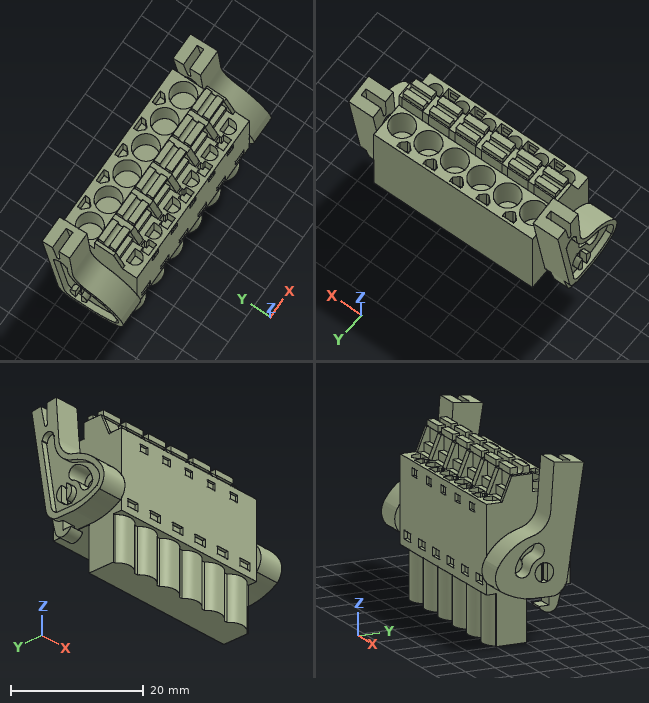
import cadquery as cq
import math


pole_count = 6
pole_pitch = 5.0
pole_xs = [(i - (pole_count - 1) / 2) * pole_pitch for i in range(pole_count)]
between_xs = [x + pole_pitch / 2 for x in pole_xs[:-1]]

housing_width = 30.1
housing_depth = 14.15
front_height = 14.35
back_height = 15.35
ridge_height = 18.22
ridge_back_y = 7.8
ridge_top_front_y = 4.25
ridge_foot_y = 2.62

plug_length = 8.38
plug_back_y = 6.75
plug_front_y = 0.6
plug_valley_y = 1.7
socket_width = 4.4

wire_hole_radius = 2.2
wire_hole_y = 10.35
wire_hole_depth = 5.95
coding_width = 2.1
coding_depth = 3.18
coding_back_y = 13.6
coding_shoulder_y = 12.85
coding_tip_y = 12.05
coding_tip_width = 0.48
test_hole_radius = 1.2
test_hole_back_y = 2.85
test_hole_front_y = 0.85
test_hole_depth = 3.97
front_wall = 0.55
step_back_y = 2.0
step_neck_back_y = 2.4
step_neck_width = 1.0
upper_window_depth = 0.45
upper_window_width = 1.63
upper_window_z = (12.0, 13.22)
lower_window_depth = 0.6
lower_window_width = 2.25
lower_window_z = (1.27, 2.62)

latch_width = 2.62

button_width = 3.9
head_back_y = 7.55
button_top = 19.37
head_front_y = 4.3
head_bottom = 18.35
grip_y = 4.75
ledge_front_y = 3.8
ledge_top = 15.75
groove_radius = 0.6
groove_center_y = 5.88
groove_center_z = 18.9
groove_back_y = groove_center_y + groove_radius
groove_front_y = 5.48
groove_front_z = groove_center_z - math.sqrt(groove_radius**2 - (groove_center_y - groove_front_y) ** 2)

total_width = 39.7
lever_thickness = 4.7
lever_outer_x = -total_width / 2
lever_shift = total_width - lever_thickness
lever_top_front_y = 9.05
lever_top_z = 21.15
rim_width = 1.05
recess_depth = 1.07
recess_shift = 0.1
recess_end_y = 10.75
recess_end_z = 14.6
recess_end_radius = 1.1
grip_slot_length = 3.7
hook_inset = 1.07
hook_width = 2.62

pivot_y = 7.42
pivot_z = 3.9
pivot_radius = 1.55
pivot_slot_width = 1.05
pivot_slot_depth = 1.35
pivot_rib_radius = 0.35
guide_radius = 3.75
guide_half_width = 1.27
peg_angle = 166.0
guide_end_angle = 110.0
peg_length = 2.0


def prism_x(profile, x_start, length):
    """Extrude a closed (Y, Z) profile along X, starting at x_start."""
    return profile.extrude(length).translate((x_start, 0, 0))


def box_between(x_center, width, y_range, z_range):
    """Box centred on x_center that spans the given Y and Z ranges."""
    depth = y_range[1] - y_range[0]
    height = z_range[1] - z_range[0]
    box = cq.Workplane("XY").box(width, depth, height, centered=(True, False, False))
    return box.translate((x_center, y_range[0], z_range[0]))


def pocket_down(sketch, top, depth):
    """Cutter for a pocket: a closed (X, Y) outline sunk from the top plane."""
    return sketch.extrude(-depth).translate((0, 0, top))


def make_block():
    profile = cq.Workplane("YZ").polyline([
        (0, 0),
        (housing_depth, 0),
        (housing_depth, back_height),
        (ridge_back_y, back_height),
        (ridge_back_y, ridge_height),
        (ridge_top_front_y, ridge_height),
        (ridge_foot_y, front_height),
        (0, front_height),
    ]).close()
    return prism_x(profile, -housing_width / 2, housing_width)


def make_plug():
    """Plug block whose front bulges out in one shallow arc per pole."""
    half = housing_width / 2
    outline = cq.Workplane("XY").moveTo(-half, plug_back_y).lineTo(-half, plug_valley_y)
    for x in pole_xs:
        outline = outline.lineTo(x - socket_width / 2, plug_valley_y)
        outline = outline.threePointArc((x, plug_front_y), (x + socket_width / 2, plug_valley_y))
    outline = outline.lineTo(half, plug_valley_y).lineTo(half, plug_back_y).close()
    return outline.extrude(-plug_length)


def make_latch():
    """Spring latch hanging down behind the plug, with a rounded nose."""
    profile = (
        cq.Workplane("YZ")
        .moveTo(7.98, 0)
        .threePointArc((8.3, -0.67), (8.5, -1.45))
        .lineTo(8.35, -2.85)
        .lineTo(7.95, -3.4)
        .threePointArc((7.95, -3.9), (8.38, -4.25))
        .threePointArc((9.0, -3.65), (9.45, -2.7))
        .lineTo(9.45, 0)
        .close()
    )
    return prism_x(profile, -latch_width / 2, latch_width)


def button_channel(x):
    """Slot across the whole ridge that holds a button."""
    return box_between(x, button_width, (0, ridge_back_y), (front_height, button_top))


def wire_hole(x):
    circle = cq.Workplane("XY").center(x, wire_hole_y).circle(wire_hole_radius)
    return pocket_down(circle, back_height, wire_hole_depth)


def test_hole(x):
    """D-shaped hole: flat at the back, round at the front."""
    arc_y = test_hole_front_y + test_hole_radius
    outline = (
        cq.Workplane("XY")
        .moveTo(x - test_hole_radius, test_hole_back_y)
        .lineTo(x - test_hole_radius, arc_y)
        .threePointArc((x, test_hole_front_y), (x + test_hole_radius, arc_y))
        .lineTo(x + test_hole_radius, test_hole_back_y)
        .close()
    )
    return pocket_down(outline, front_height, test_hole_depth)


def back_coding_pocket(x):
    """Pocket that tapers to a narrow flat toward the front."""
    half = coding_width / 2
    outline = cq.Workplane("XY").polyline([
        (x - half, coding_back_y),
        (x - half, coding_shoulder_y),
        (x - coding_tip_width / 2, coding_tip_y),
        (x + coding_tip_width / 2, coding_tip_y),
        (x + half, coding_shoulder_y),
        (x + half, coding_back_y),
    ]).close()
    return pocket_down(outline, back_height, coding_depth)


def front_coding_pocket(x):
    """Stepped pocket behind the front wall."""
    heights = (front_height - coding_depth, front_height)
    wide = box_between(x, coding_width, (front_wall, step_back_y), heights)
    neck = box_between(x, step_neck_width, (step_back_y, step_neck_back_y), heights)
    return wide.union(neck)


def upper_window(x):
    return box_between(x, upper_window_width, (0, upper_window_depth), upper_window_z)


def lower_window(x):
    return box_between(x, lower_window_width, (0, lower_window_depth), lower_window_z)


def guide_point(angle, radius=guide_radius):
    """(Y, Z) point at an angle and a distance around the pivot."""
    return (
        pivot_y + radius * math.cos(math.radians(angle)),
        pivot_z + radius * math.sin(math.radians(angle)),
    )


def make_side_pins():
    """Pivot pin and short guide peg on the left side of the housing.

    The pin has a screwdriver-style slot with a round rib along its floor.
    """
    side_x = -housing_width / 2
    pin = cq.Workplane("YZ").center(pivot_y, pivot_z).circle(pivot_radius)
    pin = prism_x(pin, lever_outer_x, side_x - lever_outer_x)
    slot = cq.Workplane("YZ").center(pivot_y, pivot_z).rect(pivot_slot_width, 2 * pivot_radius)
    slot = prism_x(slot, lever_outer_x, pivot_slot_depth)
    rib = cq.Workplane("XY").center(lever_outer_x + pivot_slot_depth, pivot_y).circle(pivot_rib_radius)
    rib = rib.extrude(pivot_radius, both=True).translate((0, 0, pivot_z))
    slot = slot.cut(rib)
    peg_center = guide_point(peg_angle)
    peg = cq.Workplane("YZ").center(*peg_center).circle(guide_half_width)
    peg = prism_x(peg, side_x - peg_length, peg_length)
    return pin.cut(slot).union(peg)


def make_housing():
    body = make_block().union(make_plug()).union(make_latch())
    for x in pole_xs:
        body = body.cut(button_channel(x)).cut(wire_hole(x)).cut(test_hole(x)).cut(lower_window(x))
    for x in between_xs:
        body = body.cut(back_coding_pocket(x)).cut(front_coding_pocket(x)).cut(upper_window(x))
    pins = make_side_pins()
    return body.union(pins).union(pins.mirror("YZ"))


def make_button(x):
    """Push button with a grooved head above a recessed grip and a ledge."""
    profile = (
        cq.Workplane("YZ")
        .moveTo(ridge_back_y, front_height)
        .lineTo(ridge_back_y, ridge_height)
        .lineTo(head_back_y, ridge_height)
        .lineTo(head_back_y, button_top)
        .lineTo(groove_back_y, button_top)
        .lineTo(groove_back_y, groove_center_z)
        .threePointArc(
            (groove_center_y, groove_center_z - groove_radius),
            (groove_front_y, groove_front_z),
        )
        .lineTo(groove_front_y, button_top)
        .lineTo(head_front_y, button_top)
        .lineTo(head_front_y, head_bottom)
        .lineTo(grip_y, head_bottom)
        .lineTo(grip_y, ledge_top)
        .lineTo(ledge_front_y, ledge_top)
        .lineTo(ledge_front_y, front_height)
        .close()
    )
    return prism_x(profile, x - button_width / 2, button_width)


def lever_outline():
    """Tilted handle that swells into a rounded cam at the bottom."""
    return (
        cq.Workplane("YZ")
        .moveTo(14.15, 20.52)
        .lineTo(lever_top_front_y, lever_top_z)
        .lineTo(8.5, 13.45)
        .tangentArcPoint((5.48, 9.92), relative=False)
        .tangentArcPoint((-0.35, 5.68), relative=False)
        .lineTo(-0.55, 5.2)
        .tangentArcPoint((0.1, 1.8), relative=False)
        .threePointArc((2.6, 0.6), (5.4, 0))
        .lineTo(9.0, 0)
        .threePointArc((10.32, 0.65), (11.2, 2.02))
        .close()
    )


def lever_recess():
    """Pocket inside the rim of the outer face, rounded off in the handle."""
    pocket = prism_x(lever_outline().offset2D(-rim_width), lever_outer_x, recess_depth)
    pocket = pocket.translate((0, -recess_shift, 0))
    above_end = (recess_end_z, lever_top_z)
    handle_part = box_between(lever_outer_x, 2 * recess_depth, (0, housing_depth), above_end)
    round_end = cq.Workplane("YZ").center(recess_end_y, recess_end_z).circle(recess_end_radius)
    return pocket.cut(handle_part).union(prism_x(round_end, lever_outer_x, recess_depth))


def grip_slot():
    """Narrow wedge-shaped slot sunk into the top of the handle."""
    profile = (
        cq.Workplane("YZ")
        .moveTo(12.25, lever_top_z)
        .lineTo(11.45, 17.15)
        .threePointArc((11.15, 16.87), (10.88, 17.15))
        .lineTo(11.0, lever_top_z)
        .close()
    )
    return prism_x(profile, lever_outer_x, grip_slot_length)


def guide_slot():
    """Curved slot around the pivot, through the lever, with the guide peg at one end."""
    middle_angle = (peg_angle + guide_end_angle) / 2
    inner = guide_radius - guide_half_width
    outer = guide_radius + guide_half_width
    profile = (
        cq.Workplane("YZ")
        .moveTo(*guide_point(peg_angle, inner))
        .threePointArc(guide_point(middle_angle, inner), guide_point(guide_end_angle, inner))
        .lineTo(*guide_point(guide_end_angle, outer))
        .threePointArc(guide_point(middle_angle, outer), guide_point(peg_angle, outer))
        .close()
    )
    slot = prism_x(profile, lever_outer_x, lever_thickness)
    for angle in (peg_angle, guide_end_angle):
        end = cq.Workplane("YZ").center(*guide_point(angle)).circle(guide_half_width)
        slot = slot.union(prism_x(end, lever_outer_x, lever_thickness))
    return slot


def pivot_hole():
    circle = cq.Workplane("YZ").center(pivot_y, pivot_z).circle(pivot_radius)
    return prism_x(circle, lever_outer_x, lever_thickness)


def lever_hook():
    """Hook under the cam that grips the mating connector."""
    profile = (
        cq.Workplane("YZ")
        .moveTo(11.2, 2.02)
        .lineTo(10.3, -1.35)
        .threePointArc((9.85, -2.3), (8.9, -2.8))
        .threePointArc((7.8, -2.55), (7.0, -1.65))
        .lineTo(8.65, -1.65)
        .lineTo(8.65, 0.8)
        .close()
    )
    return prism_x(profile, lever_outer_x + hook_inset, hook_width)


def make_lever(x_shift):
    """Lever at the left end of the housing, moved along X by x_shift."""
    lever = prism_x(lever_outline(), lever_outer_x, lever_thickness)
    lever = lever.cut(lever_recess()).cut(grip_slot()).cut(guide_slot()).cut(pivot_hole())
    return lever.union(lever_hook()).translate((x_shift, 0, 0))


housing = make_housing()
buttons = [make_button(x) for x in pole_xs]
levers = [make_lever(x_shift) for x_shift in (0, lever_shift)]

result = cq.Compound.makeCompound([
    housing.val(),
    *[button.val() for button in buttons],
    *[lever.val() for lever in levers],
])